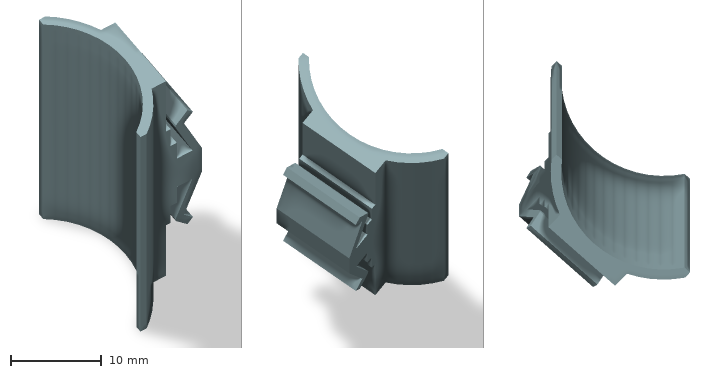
import cadquery as cq

length = 34.0
width = 20.0
depth = 11.5

inner_radius = 11.25
outer_radius = 12.4
arc_center_y = -6.53

clip_width = width / 2
plate_y = 6.73
low_step_y = 7.35
high_step_y = 8.15
low_step_half = 8.2
high_step_half = 5.25
stem_half = 2.48
crown_half = 2.07

arm_root = (10.25, stem_half)
elbow_inside = (9.1, 8.0)
elbow_outside_low = (8.0, 8.05)
elbow_outside_high = (8.05, 8.35)
tip_front = (9.6, 9.95)
tip_back = (10.3, 9.18)


def make_saddle():
    ring = (
        cq.Workplane("XY", origin=(0, 0, -length / 2))
        .center(0, arc_center_y)
        .circle(outer_radius)
        .circle(inner_radius)
        .extrude(length)
    )
    edge_limits = cq.Workplane("XY").box(width, depth, length, centered=(True, False, True))
    return ring.intersect(edge_limits)


def make_plate():
    """Flat-backed plate over the full length, hollowed by the saddle's inner surface."""
    plate = cq.Workplane("XY").box(clip_width, plate_y, length, centered=(True, False, True))
    bore = (
        cq.Workplane("XY", origin=(0, 0, -length / 2))
        .center(0, arc_center_y)
        .circle(inner_radius)
        .extrude(length)
    )
    return plate.cut(bore)


def make_clip():
    """Stepped stem with a bent spring arm on each end, symmetric about Z = 0."""
    upper_half = [
        (plate_y, low_step_half),
        (low_step_y, low_step_half),
        (low_step_y, high_step_half),
        (high_step_y, high_step_half),
        (high_step_y, stem_half),
        arm_root,
        elbow_outside_low,
        elbow_outside_high,
        tip_front,
        tip_back,
        elbow_inside,
        (depth, crown_half),
    ]
    lower_half = [(y, -z) for y, z in reversed(upper_half)]
    return (
        cq.Workplane("YZ")
        .polyline(upper_half + lower_half)
        .close()
        .extrude(clip_width / 2, both=True)
    )


result = make_saddle().union(make_plate()).union(make_clip())